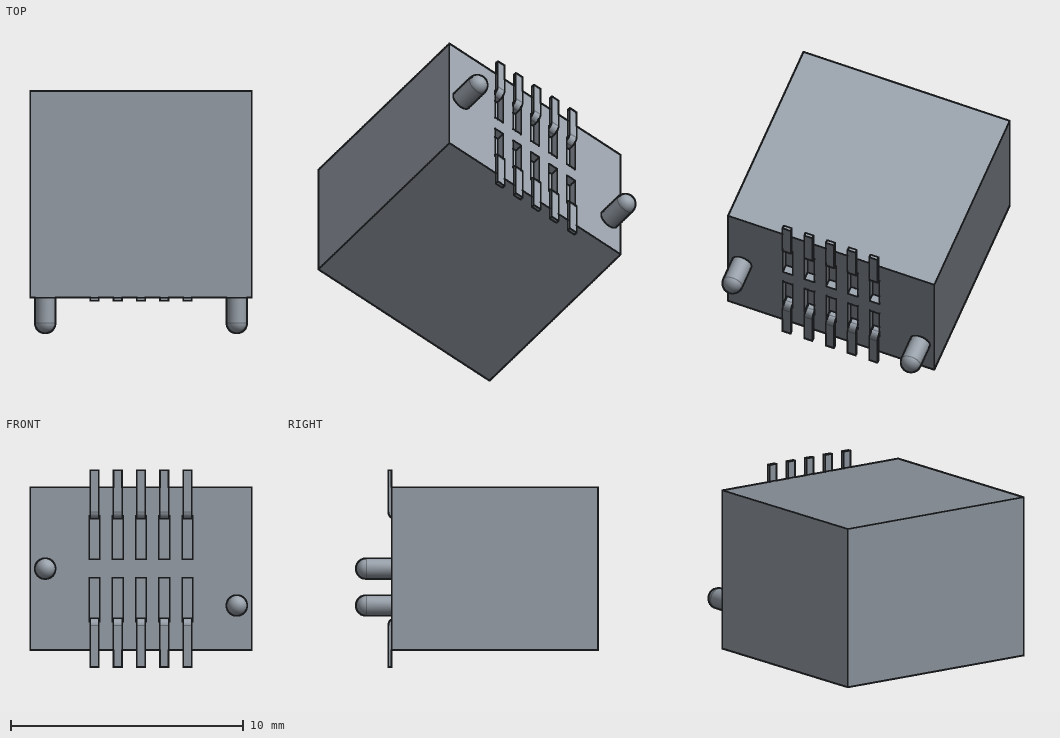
import cadquery as cq
import math

housing_width = 9.54
housing_height = 7.02
overall_length = 10.44
peg_length = 1.55
housing_length = overall_length - peg_length

peg_diameter = 0.9
peg_offset_x = 4.12
left_peg_z = 0.0
right_peg_z = -1.59

leads_per_row = 5
lead_pitch = 1.0
lead_width = 0.38
lead_thickness = 0.15
lead_span = 8.48
bend_outer_radius = 0.3
bend_inner_radius = bend_outer_radius - lead_thickness

slot_width = 0.46
slot_depth = 0.37
slot_inner_z = 0.4
slot_outer_z = 2.29


def make_housing():
    return cq.Workplane("XY").box(
        housing_width, housing_length, housing_height, centered=(True, False, True)
    )


def make_peg(x, z):
    """Round peg pointing along -Y, rounded to a full hemisphere at its tip."""
    radius = peg_diameter / 2
    shank_length = peg_length - radius
    shank = cq.Workplane("XZ").center(x, z).circle(radius).extrude(shank_length)
    tip = cq.Workplane("XY").sphere(radius).translate((x, -shank_length, z))
    return shank.union(tip)


def make_slot(x):
    """Cutter for one slot of the upper row."""
    return cq.Workplane("XY").box(
        slot_width, slot_depth, slot_outer_z - slot_inner_z, centered=(True, False, False)
    ).translate((x, 0, slot_inner_z))


def make_lead(x):
    """L-shaped lead of the upper row: a leg from the slot floor, a bend, and a foot along the face."""
    foot_end_z = lead_span / 2
    leg_front_z = slot_outer_z - lead_thickness
    bend_y = bend_inner_radius
    bend_z = leg_front_z + bend_outer_radius
    diagonal = math.sqrt(0.5)
    outer_mid = (bend_y - bend_outer_radius * diagonal, bend_z - bend_outer_radius * diagonal)
    inner_mid = (bend_y - bend_inner_radius * diagonal, bend_z - bend_inner_radius * diagonal)
    return (
        cq.Workplane("YZ")
        .moveTo(0, foot_end_z)
        .lineTo(-lead_thickness, foot_end_z)
        .lineTo(-lead_thickness, bend_z)
        .threePointArc(outer_mid, (bend_y, leg_front_z))
        .lineTo(slot_depth, leg_front_z)
        .lineTo(slot_depth, slot_outer_z)
        .lineTo(bend_y, slot_outer_z)
        .threePointArc(inner_mid, (0, bend_z))
        .close()
        .extrude(lead_width / 2, both=True)
        .translate((x, 0, 0))
    )


result = make_housing()

for index in range(leads_per_row):
    lead_x = (index - (leads_per_row - 1) / 2) * lead_pitch
    slot = make_slot(lead_x)
    lead = make_lead(lead_x)
    result = result.cut(slot).cut(slot.mirror("XY"))
    result = result.union(lead).union(lead.mirror("XY"))

result = result.union(make_peg(-peg_offset_x, left_peg_z))
result = result.union(make_peg(peg_offset_x, right_peg_z))